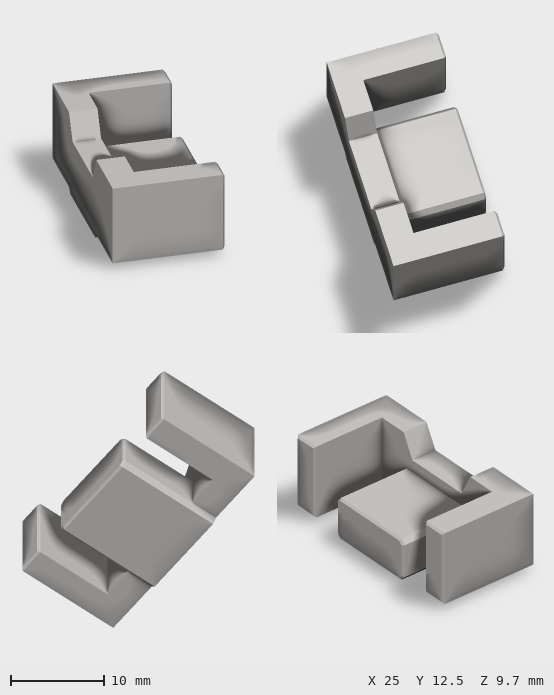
import cadquery as cq

length = 25.0
depth = 12.5
height = 9.7

wall_thickness = 3.18
leg_width = 3.12
post_width = 11.35
post_top = 5.3
post_edge_inset = 0.52
post_edge_height = 0.6
end_chamfer = 0.25

notch_depth = 2.85
notch_floor_width = 8.35

leg_bottom = post_edge_height
notch_floor = height - notch_depth


def make_box(x_start, width, y_length):
    """Full-height part of the U-shaped body, starting at the wall's outer face."""
    return (
        cq.Workplane("XY", origin=(0, 0, leg_bottom))
        .rect(width, y_length, centered=False)
        .extrude(height - leg_bottom)
        .translate((x_start, 0, 0))
    )


def make_leg(x_start):
    """Side leg with a small chamfer around its free end."""
    return make_box(x_start, leg_width, depth).faces(">Y").chamfer(end_chamfer)


def make_post():
    """Central post with four bevelled long edges, running through the wall."""
    half_width = post_width / 2
    half_flat = half_width - post_edge_inset
    profile = [
        (-half_flat, 0),
        (half_flat, 0),
        (half_width, post_edge_height),
        (half_width, post_top - post_edge_height),
        (half_flat, post_top),
        (-half_flat, post_top),
        (-half_width, post_top - post_edge_height),
        (-half_width, post_edge_height),
    ]
    return (
        cq.Workplane("XZ")
        .polyline(profile)
        .close()
        .extrude(-depth)
        .faces(">Y")
        .chamfer(end_chamfer)
    )


def make_notch():
    """Trapezoidal opening in the wall, as wide at the top as the post."""
    half_top = post_width / 2
    half_floor = notch_floor_width / 2
    profile = [
        (-half_floor, notch_floor),
        (half_floor, notch_floor),
        (half_top, height),
        (-half_top, height),
    ]
    return cq.Workplane("XZ").polyline(profile).close().extrude(-wall_thickness)


wall = make_box(-length / 2, length, wall_thickness).cut(make_notch())
left_leg = make_leg(-length / 2)
right_leg = make_leg(length / 2 - leg_width)

result = wall.union(left_leg).union(right_leg).union(make_post())